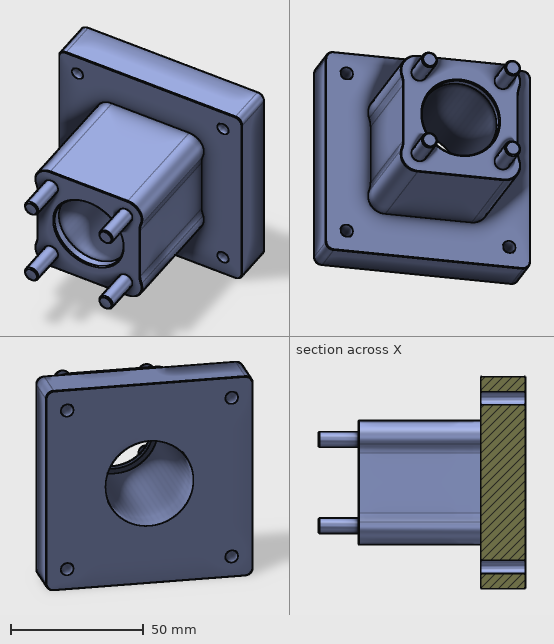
import cadquery as cq
import math

flange_side = 80.0
flange_corner_radius = 3.0
flange_chamfer = 0.3
bolt_hole_diameter = 4.9
bolt_pitch = 63.5

overall_length = 78.0
body_length = 46.0
pin_length = 15.0
flange_thickness = overall_length - body_length - pin_length
body_front = -(flange_thickness + body_length)

body_side = 46.9
body_corner_radius = 6.6
side_recess_depth = 1.0
recess_blend_radius = 10.0
body_chamfer = 0.3

lip_diameter = 30.0
lip_length = 3.5
lip_chamfer = 0.5
bore_diameter = 34.0

pin_diameter = 6.0
pin_pitch = 32.5
pin_chamfer = 0.5


def front_plane(y):
    """XZ plane at the given Y; extrusion runs toward -Y."""
    return cq.Workplane("XZ", origin=(0, y, 0))


def make_flange():
    flange = front_plane(0).rect(flange_side, flange_side).extrude(flange_thickness)
    flange = flange.edges("|Y").fillet(flange_corner_radius)
    flange = flange.faces("<Y or >Y").chamfer(flange_chamfer)
    holes = (
        front_plane(0)
        .rect(bolt_pitch, bolt_pitch, forConstruction=True)
        .vertices()
        .circle(bolt_hole_diameter / 2)
        .extrude(flange_thickness)
    )
    return flange.cut(holes)


def make_body():
    half = body_side / 2
    corner = half - body_corner_radius
    flat = half - side_recess_depth

    blend_x = flat + recess_blend_radius
    centre_distance = body_corner_radius + recess_blend_radius
    blend_angle = math.acos((blend_x - corner) / centre_distance)
    blend_z = corner - centre_distance * math.sin(blend_angle)
    join_x = corner + body_corner_radius * math.cos(blend_angle)
    join_z = corner - body_corner_radius * math.sin(blend_angle)
    blend_mid_x = blend_x - recess_blend_radius * math.cos(blend_angle / 2)
    blend_mid_z = blend_z + recess_blend_radius * math.sin(blend_angle / 2)
    corner_mid = corner + body_corner_radius * math.sqrt(0.5)

    quarter = (
        front_plane(-flange_thickness)
        .lineTo(0, half)
        .lineTo(corner, half)
        .threePointArc((corner_mid, corner_mid), (join_x, join_z))
        .threePointArc((blend_mid_x, blend_mid_z), (flat, blend_z))
        .lineTo(flat, 0)
        .close()
        .extrude(body_length)
    )
    right_half = quarter.union(quarter.mirror("XY"))
    body = right_half.union(right_half.mirror("YZ")).clean()
    return body.faces("<Y").chamfer(body_chamfer)


def make_bore():
    lip_radius = lip_diameter / 2
    bore_radius = bore_diameter / 2
    lip_back = body_front + lip_length
    return (
        cq.Workplane("XY")
        .moveTo(0, body_front)
        .lineTo(lip_radius + lip_chamfer, body_front)
        .lineTo(lip_radius, body_front + lip_chamfer)
        .lineTo(lip_radius, lip_back)
        .lineTo(bore_radius, lip_back)
        .lineTo(bore_radius, 0)
        .lineTo(0, 0)
        .close()
        .revolve(360, (0, 0, 0), (0, 1, 0))
    )


def make_pins():
    pins = (
        front_plane(body_front)
        .rect(pin_pitch, pin_pitch, forConstruction=True)
        .vertices()
        .circle(pin_diameter / 2)
        .extrude(pin_length)
    )
    return pins.faces("<Y").chamfer(pin_chamfer)


result = make_flange().union(make_body()).cut(make_bore()).union(make_pins())